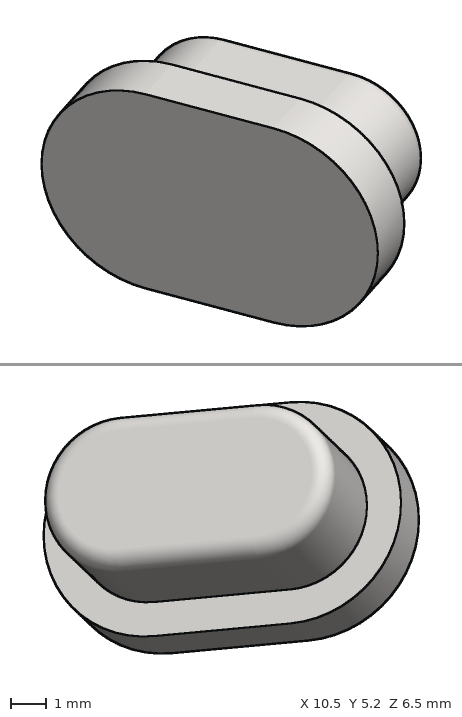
import cadquery as cq

center_distance = 4.0
flange_height = 6.5
flange_thickness = 1.7
flange_overhang = 1.0
total_depth = 5.2
plug_edge_radius = 0.5

plug_height = flange_height - 2 * flange_overhang


def obround(height, depth):
    """Solid with rounded ends, running from the outer face (Y = 0) toward +Y."""
    length = center_distance + height
    return cq.Workplane("XZ").slot2D(length, height).extrude(-depth)


def make_flange():
    return obround(flange_height, flange_thickness)


def make_plug():
    plug = obround(plug_height, total_depth)
    return plug.faces(">Y").edges().fillet(plug_edge_radius)


result = make_flange().union(make_plug())